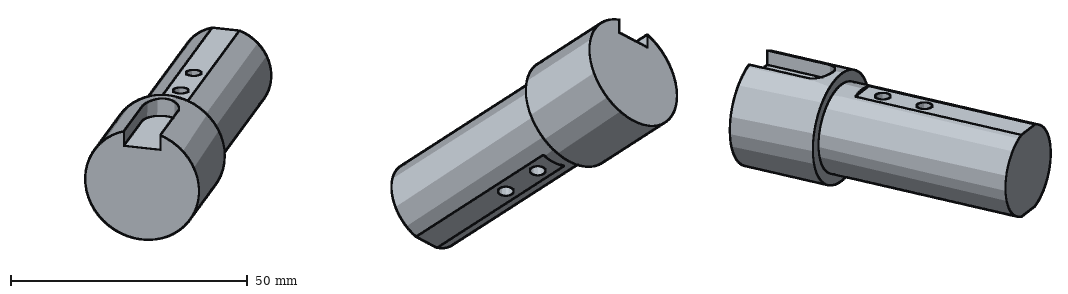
import cadquery as cq
import math

total_length = 65.0
head_diameter = 25.0
head_length = 20.0
shaft_diameter = 20.0

flat_width = 6.0
flat_length = 40.0

slot_width = 8.0
slot_length = 18.0
slot_floor_height = 8.5

hole_diameter = 3.3
hole_spacing = 10.0
hole_end_distance = 24.95

head_radius = head_diameter / 2
shaft_radius = shaft_diameter / 2
flat_height = math.sqrt(shaft_radius**2 - (flat_width / 2) ** 2)


def cylinder_along_y(diameter, length):
    """Cylinder from the head face at Y = 0 towards +Y."""
    return cq.Workplane("XZ").circle(diameter / 2).extrude(-length)


def shaft_flat(side):
    """Cutter for a flat on the top (side = 1) or bottom (side = -1) of the shaft."""
    cut_depth = shaft_radius - flat_height
    return cq.Workplane("XY").box(shaft_diameter, flat_length, cut_depth).translate(
        (0, total_length - flat_length / 2, side * (flat_height + cut_depth / 2))
    )


def head_slot():
    """Cutter for the round-ended slot, open at the head face."""
    end_radius = slot_width / 2
    straight_length = slot_length - end_radius
    return (
        cq.Workplane("XY", origin=(0, 0, slot_floor_height))
        .moveTo(-end_radius, 0)
        .lineTo(-end_radius, straight_length)
        .threePointArc((0, slot_length), (end_radius, straight_length))
        .lineTo(end_radius, 0)
        .close()
        .extrude(head_radius - slot_floor_height)
    )


def cross_holes():
    """Cutters for the two holes passing vertically through the shaft."""
    far_hole_y = total_length - hole_end_distance
    return (
        cq.Workplane("XY", origin=(0, 0, -shaft_radius))
        .pushPoints([(0, far_hole_y), (0, far_hole_y - hole_spacing)])
        .circle(hole_diameter / 2)
        .extrude(shaft_diameter)
    )


result = cylinder_along_y(head_diameter, head_length).union(cylinder_along_y(shaft_diameter, total_length))
for side in (1, -1):
    result = result.cut(shaft_flat(side))
result = result.cut(head_slot()).cut(cross_holes())